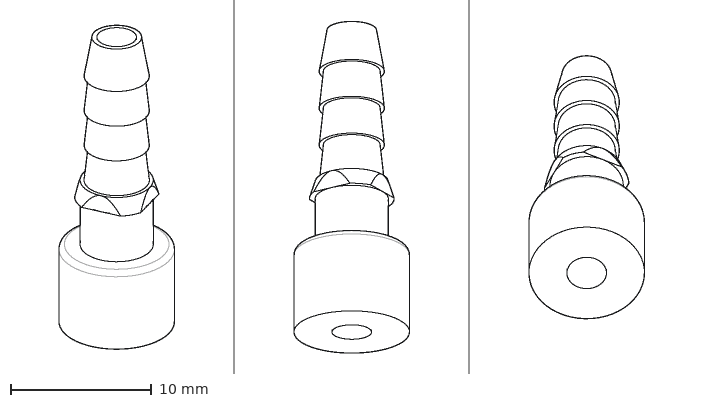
import cadquery as cq

total_height = 23.0
bore_diameter = 2.8

base_diameter = 8.2
base_height = 6.25
base_edge_radius = 0.4
stem_diameter = 5.2

collar_bottom = 10.17
collar_top = 11.45
collar_bottom_diameter = 6.03
flat_to_flat = stem_diameter

barb_count = 4
barb_pitch = 2.8
barb_diameter = 4.65
barb_root_diameter = 4.05
tip_diameter = 3.55


def cone(bottom_diameter, top_diameter, bottom, top):
    """Upright truncated cone centred on the Z axis."""
    return (
        cq.Workplane("XZ")
        .moveTo(0, bottom)
        .lineTo(bottom_diameter / 2, bottom)
        .lineTo(top_diameter / 2, top)
        .lineTo(0, top)
        .close()
        .revolve(360, (0, 0, 0), (0, 1, 0))
    )


def make_base():
    base = cq.Workplane("XY").circle(base_diameter / 2).extrude(base_height)
    return base.faces(">Z").edges().fillet(base_edge_radius)


def make_stem():
    return cq.Workplane("XY").circle(stem_diameter / 2).extrude(collar_top)


def make_collar():
    flats = (
        cq.Workplane("XY", origin=(0, 0, collar_bottom))
        .rect(flat_to_flat, flat_to_flat)
        .extrude(collar_top - collar_bottom)
        .rotate((0, 0, 0), (0, 0, 1), 45)
    )
    return cone(collar_bottom_diameter, stem_diameter, collar_bottom, collar_top).intersect(flats)


def make_barb(index):
    """Barb counted upward from the collar; the last one is the tip."""
    bottom = collar_top + index * barb_pitch
    if index == barb_count - 1:
        return cone(barb_diameter, tip_diameter, bottom, total_height)
    return cone(barb_diameter, barb_root_diameter, bottom, bottom + barb_pitch)


body = make_base().union(make_stem()).union(make_collar())
for barb_index in range(barb_count):
    body = body.union(make_barb(barb_index))

bore = cq.Workplane("XY").circle(bore_diameter / 2).extrude(total_height)
result = body.cut(bore)